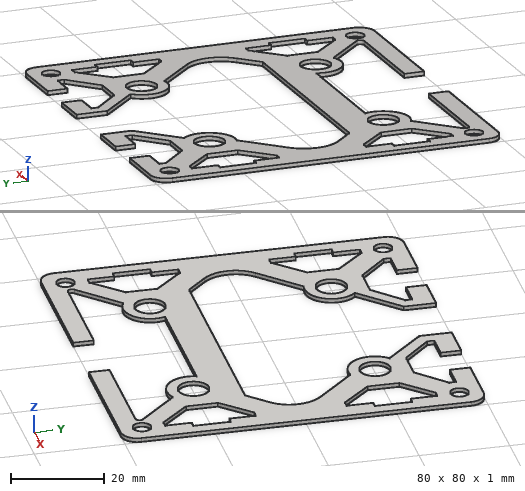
import cadquery as cq

SIDE = 80.0
THICKNESS = 1.0
CORNER_RADIUS = 3.6
HALF = SIDE / 2

BORE_DIAMETER = 6.8
RING_DIAMETER = 11.8
BORE_OFFSET = SIDE / 4
CORNER_HOLE_DIAMETER = 4.0
CORNER_HOLE_SPACING = 70.0

LIP_DEPTH = 4.6
SHOULDER_DEPTH = 6.1
FLOOR_DEPTH = 12.3
POCKET_WIDTH = 20.0
FLOOR_WIDTH = 7.0
MOUTH_WIDTH = 8.2
CLOSED_MOUTH_DEPTH = 3.0

GAP_WIDTH = 14.2
CAVITY_APEX = 35.6
CAVITY_RADIUS = 8.0
BRIDGE_TOP = -10.0
BRIDGE_THICKNESS = 8.0
STRUT_OFFSET = 2.5
CHANNEL_RADIUS = 0.9


def prism(points):
    """Full-thickness prism over a closed outline."""
    return cq.Workplane("XY").polyline(points).close().extrude(THICKNESS)


def mirrored_prism(right_points):
    """Prism whose outline is the given right half plus its mirror image in the YZ plane."""
    left_points = [(-x, y) for x, y in reversed(right_points)]
    return prism(right_points + left_points)


def discs(centres, diameter):
    return cq.Workplane("XY").pushPoints(centres).circle(diameter / 2).extrude(THICKNESS)


def square_pattern(offset):
    return [(x, y) for x in (-offset, offset) for y in (-offset, offset)]


def slot_pocket(mouth_depth):
    """Tapered slot opening towards +Y, centred on x = 0."""
    return mirrored_prism([
        (MOUTH_WIDTH / 2, HALF - mouth_depth),
        (MOUTH_WIDTH / 2, HALF - LIP_DEPTH),
        (POCKET_WIDTH / 2, HALF - LIP_DEPTH),
        (POCKET_WIDTH / 2, HALF - SHOULDER_DEPTH),
        (FLOOR_WIDTH / 2, HALF - FLOOR_DEPTH),
    ])


def round_corners(body, x, y, radius):
    """Fillet the upright edges at (x, y) and (-x, y)."""
    for corner_x in (x, -x):
        edge = cq.selectors.NearestToPointSelector((corner_x, y, THICKNESS / 2))
        body = body.edges("|Z").edges(edge).fillet(radius)
    return body


def central_opening():
    """Opening through the top edge; its walls run into the upper rings at 45 degrees."""
    outline = [
        (GAP_WIDTH / 2, HALF),
        (GAP_WIDTH / 2, 2 * BORE_OFFSET - GAP_WIDTH / 2),
        (BORE_OFFSET, BORE_OFFSET),
        (CAVITY_APEX / 2, CAVITY_APEX / 2),
        (CAVITY_APEX, 0),
        (CAVITY_APEX + BRIDGE_TOP, BRIDGE_TOP),
    ]
    return round_corners(mirrored_prism(outline), CAVITY_APEX, 0, CAVITY_RADIUS)


def lower_channel():
    """Channel under the bridge, open through a gap in the bottom flange."""
    flange_top = LIP_DEPTH - HALF
    corner_x = -flange_top - STRUT_OFFSET
    outline = [
        (GAP_WIDTH / 2, -HALF),
        (GAP_WIDTH / 2, flange_top),
        (corner_x, flange_top),
        (BORE_OFFSET - STRUT_OFFSET / 2, -BORE_OFFSET - STRUT_OFFSET / 2),
        (BORE_OFFSET, BRIDGE_TOP - BRIDGE_THICKNESS),
    ]
    return round_corners(mirrored_prism(outline), corner_x, flange_top, CHANNEL_RADIUS)


bore_centres = square_pattern(BORE_OFFSET)

plate = cq.Workplane("XY").rect(SIDE, SIDE).extrude(THICKNESS).edges("|Z").fillet(CORNER_RADIUS)
plate = plate.cut(central_opening()).cut(lower_channel())
plate = plate.union(discs(bore_centres, RING_DIAMETER))

open_pocket = slot_pocket(0)
closed_pocket = slot_pocket(CLOSED_MOUTH_DEPTH)
for along_edge in (-BORE_OFFSET, BORE_OFFSET):
    plate = plate.cut(open_pocket.translate((along_edge, 0, 0)))
    for turn in (-90, 90):
        side_pocket = closed_pocket.rotate((0, 0, 0), (0, 0, 1), turn)
        plate = plate.cut(side_pocket.translate((0, along_edge, 0)))

plate = plate.cut(discs(bore_centres, BORE_DIAMETER))
plate = plate.cut(discs(square_pattern(CORNER_HOLE_SPACING / 2), CORNER_HOLE_DIAMETER))

result = plate